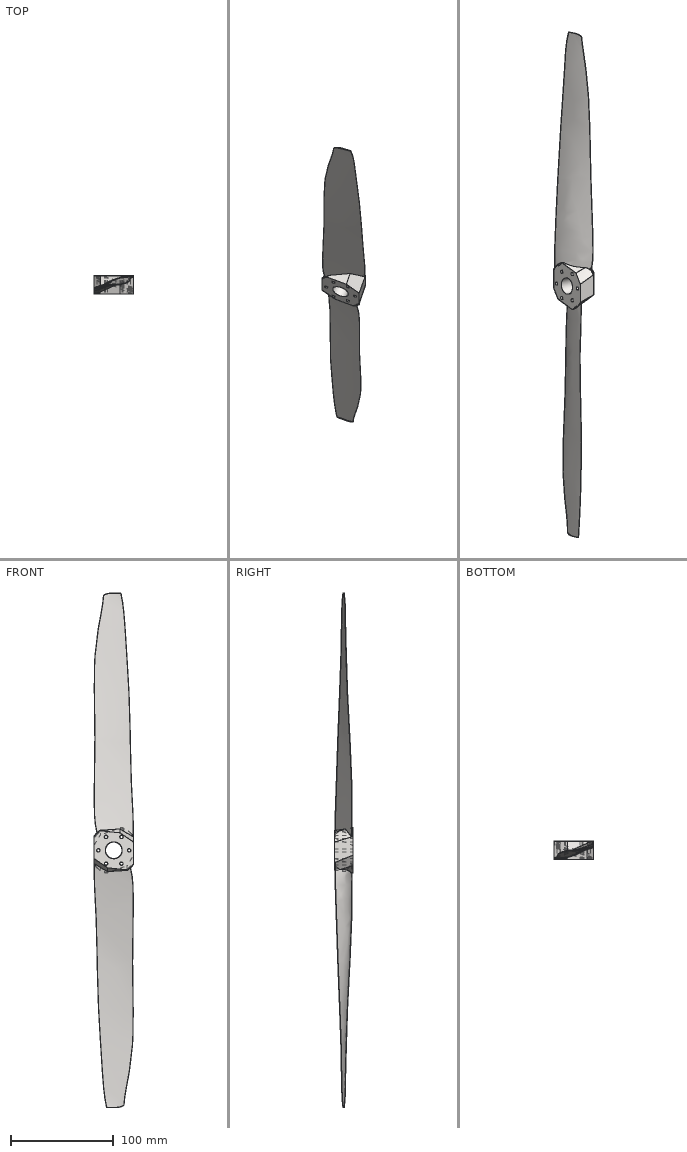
import cadquery as cq

span = 500.5
tip_z = span / 2
hub_width = 38.5
hub_depth = 18.0
hub_radius = 23.5
bore_diameter = 16.0
bolt_circle_radius = 15.0
bolt_hole_diameter = 3.0
bolt_count = 6

front_ramp_near_line = [(-13.5, 19.0), (6.0, 17.0), (20.0, 7.5)]
front_ramp_far_line = [(-13.5, 23.5), (6.0, 23.0), (20.0, 12.5)]
ramp_far_y = 8.0
back_ramp_near_line = [(-20.0, 3.5), (-13.0, 15.0), (10.0, 23.0)]
back_ramp_far_line = [(-20.0, 10.5), (-13.0, 20.0), (10.0, 23.5)]
ramp_clearance_z = 40.0

blade_stations = [
    (12.5, -15.0, -8.5, 19.0, 7.5, 5.5),
    (30.0, -18.5, -8.5, 19.0, 7.5, 5.5),
    (60.0, -19.0, -7.5, 17.5, 7.5, 4.5),
    (90.0, -18.5, -6.5, 16.5, 6.5, 4.0),
    (120.0, -18.5, -5.5, 16.0, 5.0, 3.5),
    (170.0, -19.0, -3.5, 14.0, 2.5, 2.5),
    (210.0, -16.0, -2.5, 11.5, 1.5, 2.0),
    (tip_z, -10.0, -1.0, 7.0, 0.0, 1.0),
]
crown_fraction = 0.6
edge_thickness = 0.5

trailing_corner = (11.0, 6.0)
leading_corner = (2.0, 4.0)
trailing_margin = 2.5
leading_margin = 1.0
tip_taper_height = 47.0


def blade_section(z, trail_x, trail_y, lead_x, lead_y, thickness):
    """Closed section with a flat pressure side and a domed back facing +Y."""
    crown_x = trail_x + crown_fraction * (lead_x - trail_x)
    crown_y = trail_y + crown_fraction * (lead_y - trail_y) + thickness
    plane = cq.Plane(origin=(0, 0, z), xDir=(1, 0, 0), normal=(0, 0, 1))
    section = (
        cq.Workplane(plane)
        .moveTo(trail_x, trail_y)
        .lineTo(lead_x, lead_y)
        .lineTo(lead_x, lead_y + edge_thickness)
        .spline([(crown_x, crown_y), (trail_x, trail_y + edge_thickness)], includeCurrent=True)
        .close()
    )
    return section.val()


def rounded_tip_outline():
    """Prism enclosing the blade, with the two tip corners rounded."""
    _, trail_x, _, lead_x, _, _ = blade_stations[-1]
    trail_width, trail_height = trailing_corner
    lead_width, lead_height = leading_corner
    trail_side = trail_x - trailing_margin
    lead_side = lead_x + leading_margin
    return (
        cq.Workplane("XZ")
        .moveTo(-hub_width, 0)
        .lineTo(-hub_width, tip_z - tip_taper_height)
        .lineTo(trail_side, tip_z - trail_height)
        .spline([(trail_side + trail_width, tip_z)], tangents=[(1, 3), (1, 0)], includeCurrent=True)
        .lineTo(lead_side - lead_width, tip_z)
        .spline([(lead_side, tip_z - lead_height)], tangents=[(1, 0), (1, -3)], includeCurrent=True)
        .lineTo(hub_width, tip_z - tip_taper_height)
        .lineTo(hub_width, 0)
        .close()
        .extrude(hub_depth, both=True)
    )


def upper_blade():
    sections = [blade_section(*station) for station in blade_stations]
    blade = cq.Workplane(cq.Solid.makeLoft(sections))
    return blade.intersect(rounded_tip_outline())


def ramp_profile(line, y):
    """Closed XZ profile above a ramp line, at the given Y."""
    top_corners = [(line[-1][0], ramp_clearance_z), (line[0][0], ramp_clearance_z)]
    points = [cq.Vector(x, y, z) for x, z in line + top_corners]
    return cq.Wire.makePolygon(points, close=True)


def ramp(near_line, far_line, side):
    """Solid to remove above a ramp; side is -1 for the hub's front face, 1 for its back."""
    near = ramp_profile(near_line, side * hub_depth / 2)
    far = ramp_profile(far_line, -side * ramp_far_y)
    return cq.Workplane(cq.Solid.makeLoft([near, far], True))


def half_turn(body):
    """Copy for the opposite blade, turned about the shaft axis."""
    return body.rotate((0, 0, 0), (0, 1, 0), 180)


def hub():
    disc = cq.Workplane("XZ").circle(hub_radius).extrude(hub_depth / 2, both=True)
    disc = disc.intersect(cq.Workplane().box(hub_width, hub_depth, 2 * hub_radius))
    ramps = [
        ramp(front_ramp_near_line, front_ramp_far_line, -1),
        ramp(back_ramp_near_line, back_ramp_far_line, 1),
    ]
    for cutter in ramps:
        disc = disc.cut(cutter).cut(half_turn(cutter))
    return disc


def shaft_holes():
    bore = cq.Workplane("XZ").circle(bore_diameter / 2).extrude(hub_depth, both=True)
    bolts = (
        cq.Workplane("XZ")
        .polarArray(bolt_circle_radius, 0, 360, bolt_count)
        .circle(bolt_hole_diameter / 2)
        .extrude(hub_depth, both=True)
    )
    return bore.union(bolts)


blade = upper_blade()
result = hub().union(blade).union(half_turn(blade)).cut(shaft_holes())